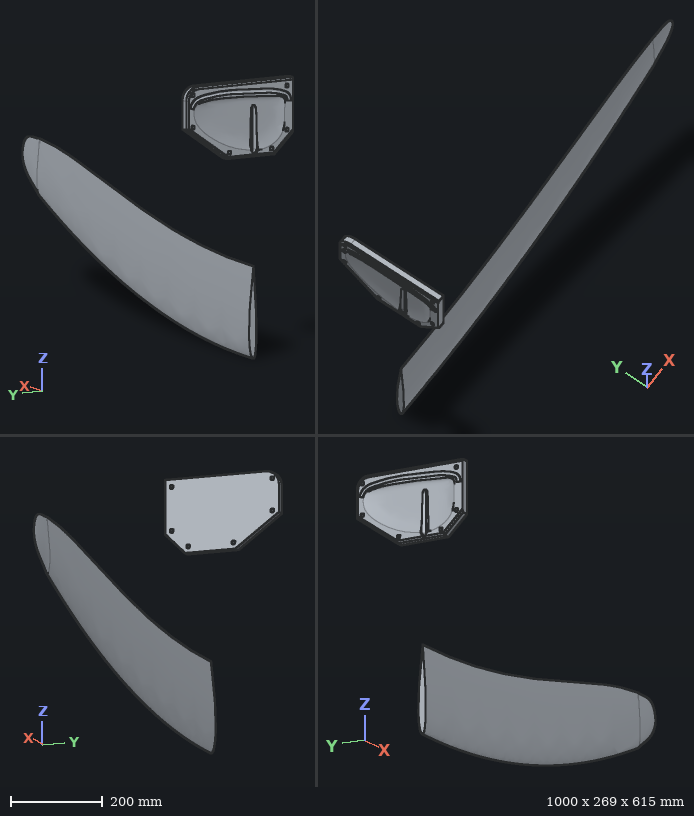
import cadquery as cq

SPAN = 1000
MAIN_SPAN = 926.0
MAIN_STEPS = 8
ROOT_CHORD = 205.0
LEADING_SWEEP = 219.0
TRAILING_SWEEP = 198.0
TRAILING_FALL = 57.0
TIP_STATIONS = [
    (962.0, 246.0, 345.0),
    (988.0, 271.0, 335.0),
    (SPAN, 298.0, 308.0),
]
ROOT_CHORD_Y = -34.0
TIP_CHORD_Y = -36.0
THICKNESS_RATIO = 0.094
UPPER_SHARE = 0.6
THICKNESS_LAW = [(2.969, 0.5), (-1.26, 1), (-3.516, 2), (2.843, 3), (-1.015, 4)]
SECTION_STEPS = 8

PLATE_THICKNESS = 20.0
PLATE_WIDTH = 269.0
PLATE_HEIGHT = 167.0
PLATE_TOP = 615.0
PLATE_BOTTOM = PLATE_TOP - PLATE_HEIGHT
PLATE_SIDE = PLATE_WIDTH / 2
CORNER_RADIUS = 30.0
LEFT_CUT_Z = 521.0
LEFT_CUT_Y = 32.0
RIGHT_CUT_Z = 493.0
RIGHT_CUT_Y = -88.0
CHAMFER_WIDTH = 5.0
CHAMFER_DEPTH = 3.0

HOLE_DIAMETER = 8.0
HOLE_PLACES = [(119.0, 598.0), (119.0, 526.0), (27.0, 462.0), (-80, 462.0), (-119.0, 500), (-119.0, 598.0)]

BOWL_RIM = [
    (-37.0, 462.0),
    (-69.0, 466.0),
    (-106.0, 494.0),
    (-113.0, 522.0),
    (-113.0, 550),
    (-112.0, 570),
    (-105.0, 575.0),
    (-90, 578.0),
    (-37.0, 582.0),
    (28.0, 584.0),
    (94.0, 580),
    (112.0, 572.0),
    (115.0, 545.0),
    (101.0, 522.0),
    (71.0, 498.0),
    (6.0, 469.0),
]
BOWL_DEPTH = 5.0
BOWL_DEEPEST = (-37.0, 558.0)
BOWL_LEVELS = [1, 0.9, 0.8, 0.6, 0.3, 0.02]
BOWL_FLATNESS = 8

SEAL_RADIUS = 4.5
SEAL_PATH = [
    (122.0, 568.0),
    (112.0, 583.0),
    (84.0, 592.0),
    (17.0, 596.0),
    (-37.0, 593.0),
    (-107.0, 584.0),
    (-121.0, 576.0),
    (-124.0, 564.0),
]

SEAT_Y = -37.0
SEAT_MOUTH = [(561.0, 4.0), (554.0, 13.0), (463.0, 18.0), (454.0, 6.0)]
SEAT_DEPTH = 9.0
OUTLET_RADIUS = 3.0


def main_station(step):
    """Main span station: X with its leading and trailing edge Z, both on power curves."""
    reach = step / MAIN_STEPS
    leading_z = LEADING_SWEEP * reach**2
    trailing_z = ROOT_CHORD + TRAILING_SWEEP * reach**2 - TRAILING_FALL * reach**6
    return MAIN_SPAN * reach, leading_z, trailing_z


def blade_section(station):
    """Closed aerofoil wire across the span at one station."""
    x, leading_z, trailing_z = station
    chord = trailing_z - leading_z
    chord_y = ROOT_CHORD_Y + (TIP_CHORD_Y - ROOT_CHORD_Y) * x / SPAN

    def surface_point(fraction, side_share):
        thickness = sum(factor * fraction**power for factor, power in THICKNESS_LAW)
        y = chord_y + side_share * thickness * THICKNESS_RATIO * chord
        return cq.Vector(x, y, leading_z + fraction * chord)

    fractions = [(i / SECTION_STEPS) ** 2 for i in range(SECTION_STEPS + 1)]
    upper = [surface_point(f, UPPER_SHARE) for f in reversed(fractions)]
    lower = [surface_point(f, UPPER_SHARE - 1) for f in fractions[1:]]
    surface = cq.Edge.makeSpline(upper + lower)
    trailing_edge = cq.Edge.makeLine(lower[-1], upper[0])
    return cq.Wire.assembleEdges([surface, trailing_edge])


def make_blade():
    """Swept blade: a long main span and a rounded tip in one solid."""
    main_sections = [blade_section(main_station(step)) for step in range(MAIN_STEPS + 1)]
    tip_sections = [main_sections[-1]] + [blade_section(station) for station in TIP_STATIONS]
    main_span = cq.Solid.makeLoft(main_sections)
    tip = cq.Solid.makeLoft(tip_sections)
    return cq.Workplane(main_span).union(cq.Workplane(tip))


def plate_blank():
    """Six-sided plate, one rounded corner, chamfered on all face edges but the -Y one."""
    blank = (
        cq.Workplane("YZ")
        .moveTo(-PLATE_SIDE, PLATE_TOP)
        .lineTo(-PLATE_SIDE, RIGHT_CUT_Z)
        .lineTo(RIGHT_CUT_Y, PLATE_BOTTOM)
        .lineTo(LEFT_CUT_Y, PLATE_BOTTOM)
        .lineTo(PLATE_SIDE, LEFT_CUT_Z)
        .lineTo(PLATE_SIDE, PLATE_TOP - CORNER_RADIUS)
        .radiusArc((PLATE_SIDE - CORNER_RADIUS, PLATE_TOP), -CORNER_RADIUS)
        .close()
        .extrude(PLATE_THICKNESS)
    )
    rim = blank.faces("<X").edges()
    bare_edge = rim.edges("<Y")
    chamfered = [edge for edge in rim.vals() if not edge.isSame(bare_edge.val())]
    return blank.newObject(chamfered).chamfer(CHAMFER_DEPTH, CHAMFER_WIDTH)


def screw_holes():
    """Plain holes through the plate, close to its corners."""
    return (
        cq.Workplane("YZ")
        .pushPoints(HOLE_PLACES)
        .circle(HOLE_DIAMETER / 2)
        .extrude(PLATE_THICKNESS)
    )


def bowl():
    """Shallow dished hollow, steep along its upper rim and gentle along its lower one."""

    def level_wire(scale):
        depth = BOWL_DEPTH * (1 - scale**BOWL_FLATNESS)
        deep_y, deep_z = BOWL_DEEPEST
        points = [
            cq.Vector(depth, deep_y + scale * (y - deep_y), deep_z + scale * (z - deep_z))
            for y, z in BOWL_RIM
        ]
        return cq.Wire.assembleEdges([cq.Edge.makeSpline(points, periodic=True)])

    return cq.Workplane(cq.Solid.makeLoft([level_wire(scale) for scale in BOWL_LEVELS]))


def seal_groove():
    """Half-round groove that arches over the bowl and hooks down at both ends."""
    path = cq.Workplane("YZ").spline(SEAL_PATH)
    start = path.val().startPoint()
    plane = cq.Plane(origin=start, xDir=(1, 0, 0), normal=path.val().tangentAt(0))
    return cq.Workplane(plane).circle(SEAL_RADIUS).sweep(path)


def seat():
    """Groove with a V-shaped floor that widens downwards across the bowl."""

    def section(z, width):
        left, right = SEAT_Y + width / 2, SEAT_Y - width / 2
        corners = [(0, left), (BOWL_DEPTH, left), (SEAT_DEPTH, SEAT_Y), (BOWL_DEPTH, right), (0, right)]
        return cq.Wire.makePolygon([cq.Vector(x, y, z) for x, y in corners], close=True)

    return cq.Workplane(cq.Solid.makeLoft([section(*place) for place in SEAT_MOUTH], True))


def outlet():
    """Half-round channel from the seat to the plate's bottom edge."""
    return (
        cq.Workplane("XY", origin=(0, SEAT_Y, PLATE_BOTTOM))
        .circle(OUTLET_RADIUS)
        .extrude(SEAT_MOUTH[-1][0] - PLATE_BOTTOM)
    )


def make_plate():
    """Plate with its screw holes, bowl, seal groove, seat and outlet."""
    plate = plate_blank()
    for hollow in (screw_holes(), bowl(), seal_groove(), seat(), outlet()):
        plate = plate.cut(hollow)
    return plate


blade = make_blade()
plate = make_plate()
result = cq.Compound.makeCompound([blade.val(), plate.val()])